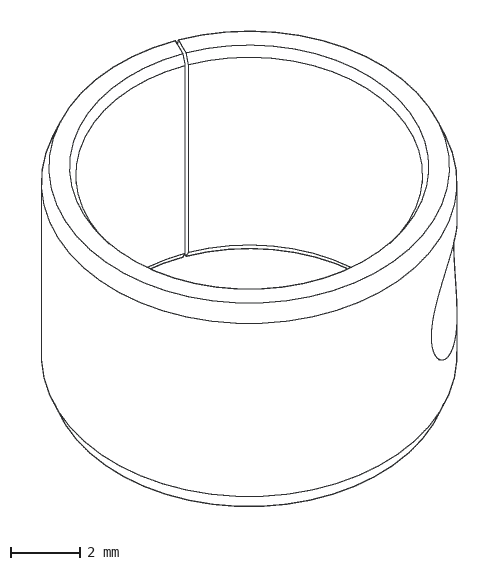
import cadquery as cq
import math

outer_diameter = 12.0
wall = 1.0
height = 8.0
outer_chamfer_height = 0.6
outer_chamfer_angle = 20.0
inner_chamfer_width = 0.18
inner_chamfer_height = 0.31
slit_width = 0.1
hole_diameter = 4.0
hole_direction = 59.0

outer_radius = outer_diameter / 2
inner_radius = outer_radius - wall
outer_chamfer_width = outer_chamfer_height * math.tan(math.radians(outer_chamfer_angle))


def bushing_body():
    """Revolve the wall section, chamfered at all four corners."""
    top = height / 2
    rim_outer = outer_radius - outer_chamfer_width
    rim_inner = inner_radius + inner_chamfer_width
    section = (
        cq.Workplane("XZ")
        .moveTo(inner_radius, -top + inner_chamfer_height)
        .lineTo(rim_inner, -top)
        .lineTo(rim_outer, -top)
        .lineTo(outer_radius, -top + outer_chamfer_height)
        .lineTo(outer_radius, top - outer_chamfer_height)
        .lineTo(rim_outer, top)
        .lineTo(rim_inner, top)
        .lineTo(inner_radius, top - inner_chamfer_height)
        .close()
    )
    body = section.revolve(360, (0, 0, 0), (0, 1, 0))
    return body.rotate((0, 0, 0), (0, 0, 1), 180)


def slit_cutter():
    """Thin full-height slab through the wall on the -X side."""
    return cq.Workplane("XY").box(
        outer_diameter, slit_width, height, centered=(False, False, True)
    ).translate((-outer_diameter, 0, 0))


def hole_cutter():
    """Radial cylinder through one side of the wall at mid-height."""
    return (
        cq.Workplane("YZ")
        .circle(hole_diameter / 2)
        .extrude(outer_diameter)
        .rotate((0, 0, 0), (0, 0, 1), hole_direction)
    )


result = bushing_body().cut(slit_cutter()).cut(hole_cutter())